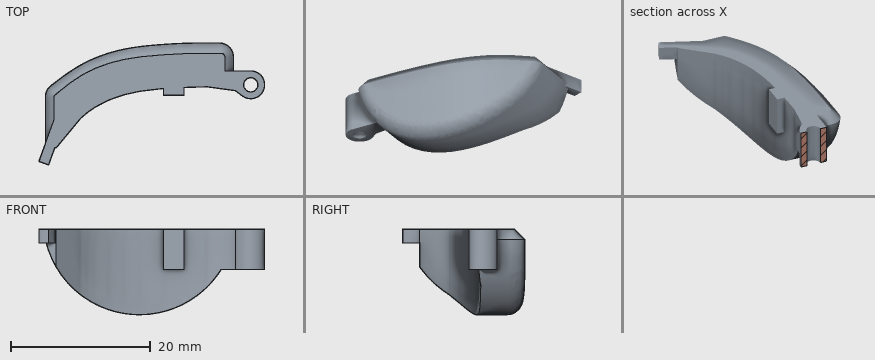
import math

import cadquery as cq


disc_radius = 13.8
body_depth = 12.25
back_edge_radius = 2.0
top_chamfer = 1.5
blank_width = 20.0

back_curve_points = [(-14.39, -7.45), (-8.8, -3.39), (-2.1, -0.87), (3.5, -0.2), (9.71, 0.0)]
back_start_direction = (0.8, 0.6)
front_curve_points = [(-8.4, -10.8), (-4.4, -8.2), (0.0, -6.95), (3.5, -6.53), (9.71, -6.3)]
end_wall = (-11.9, -15.03)

lug_center = (15.92, -6.0)
lug_radius = 2.0
pin_diameter = 2.0
lug_height = 5.8
lug_root_x = front_curve_points[-1][0]
lug_front_corner = (13.72, -6.85)

block_left = 3.44
block_width = 2.95
block_front = -7.5
block_root = -4.0

tab_tip = (-14.39, -16.96)
tab_width = 1.5
tab_length = 8.0
tab_height = 2.0
tab_angle_from_y = 20.0


def make_blank():
    """Solid disc segment with the bowed rear wall, rounded behind and chamfered on top."""
    left = back_curve_points[0][0]
    right = disc_radius + 1.0
    outline = (
        cq.Workplane("XY")
        .moveTo(*back_curve_points[0])
        .spline(back_curve_points[1:], tangents=[back_start_direction, (1, 0)], includeCurrent=True)
        .lineTo(right, 0)
        .lineTo(right, -blank_width)
        .lineTo(left, -blank_width)
        .close()
        .extrude(-body_depth)
    )
    disc = (
        cq.Workplane("XZ")
        .center(0, disc_radius - body_depth)
        .circle(disc_radius)
        .extrude(blank_width)
    )
    rounded = (
        outline.intersect(disc)
        .edges("(not <Y) and (not >Z) and (not |Z)")
        .fillet(back_edge_radius)
    )
    return rounded.edges(">Z and (not <Y)").chamfer(top_chamfer)


def make_front_clearance():
    """Space in front of the body: the bowed front wall and the flat end wall at the left."""
    left = back_curve_points[0][0]
    right = disc_radius + 1.0
    lug_line_slope = (lug_front_corner[1] - front_curve_points[-1][1]) / (
        lug_front_corner[0] - front_curve_points[-1][0]
    )
    right_end = (right, lug_front_corner[1] + lug_line_slope * (right - lug_front_corner[0]))
    return (
        cq.Workplane("XY")
        .moveTo(left, end_wall[1])
        .lineTo(*end_wall)
        .lineTo(*front_curve_points[0])
        .spline(front_curve_points[1:], includeCurrent=True)
        .lineTo(*right_end)
        .lineTo(right, -blank_width)
        .lineTo(left, -blank_width)
        .close()
        .extrude(-body_depth)
    )


def make_lug():
    """Hinge lug running from the body to the round pin eye, its front flank tangent to the eye."""
    center_x, center_y = lug_center
    corner_dx = lug_front_corner[0] - center_x
    corner_dy = lug_front_corner[1] - center_y
    corner_distance = math.hypot(corner_dx, corner_dy)
    tangent_angle = math.atan2(corner_dy, corner_dx) + math.acos(lug_radius / corner_distance)
    tangent_point = (
        center_x + lug_radius * math.cos(tangent_angle),
        center_y + lug_radius * math.sin(tangent_angle),
    )
    return (
        cq.Workplane("XY")
        .moveTo(center_x, center_y + lug_radius)
        .lineTo(lug_root_x, center_y + lug_radius)
        .lineTo(*front_curve_points[-1])
        .lineTo(*lug_front_corner)
        .lineTo(*tangent_point)
        .threePointArc((center_x + lug_radius, center_y), (center_x, center_y + lug_radius))
        .close()
        .extrude(-lug_height)
    )


def make_block():
    """Stop block standing proud of the front wall, rooted inside the body."""
    return (
        cq.Workplane("XY")
        .moveTo(block_left, block_front)
        .lineTo(block_left + block_width, block_front)
        .lineTo(block_left + block_width, block_root)
        .lineTo(block_left, block_root)
        .close()
        .extrude(-lug_height)
    )


def make_tab():
    """Slanted bar from the left tip up into the body, filling part of the end chamfer."""
    return (
        cq.Workplane("XY")
        .transformed(offset=cq.Vector(*tab_tip, 0), rotate=cq.Vector(0, 0, -tab_angle_from_y))
        .rect(tab_width, tab_length, centered=False)
        .extrude(-tab_height)
    )


def make_pin_hole():
    """Pin hole through the full height of the lug."""
    return (
        cq.Workplane("XY")
        .center(*lug_center)
        .circle(pin_diameter / 2)
        .extrude(-lug_height)
    )


result = (
    make_blank()
    .cut(make_front_clearance())
    .union(make_lug())
    .union(make_block())
    .union(make_tab())
    .cut(make_pin_hole())
)